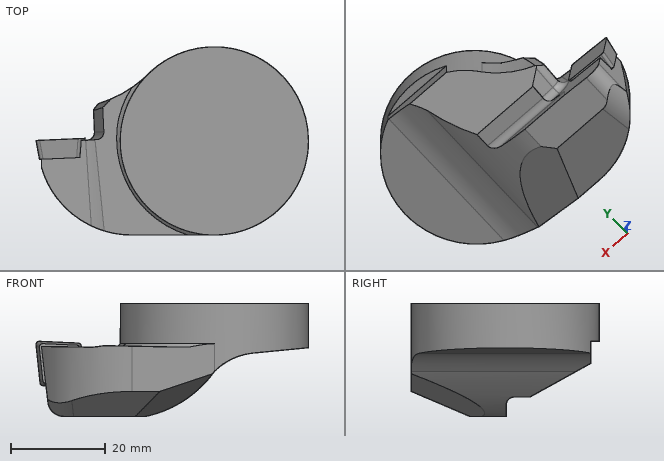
import cadquery as cq
import math


SHANK_DIAMETER = 40.0
SHANK_RADIUS = SHANK_DIAMETER / 2
TOTAL_HEIGHT = 24.0
FAR = 69.45

NOSE_CENTER_X = -17.55
FLANK_START = (-13.9, 14.35)
FLANK_MID = (-19.7, 10.0)
FLANK_END = (-25.45, 7.7)
HEAD_BLANK_HEIGHT = 17.35

PLATFORM_CORNER = (-25.45, 0, 14.8)
PLATFORM_SLOPE_X = -0.02
PLATFORM_SLOPE_Y = -0.015
COVE_TOP = 15.45
COVE_FOOT = 14.65
COVE_WIDTH = 0.85
COVE_SAG = 0.05

FLOOR_CORNER = (-27.3, 0, 14.65)
FLOOR_SLOPE_X = -0.02
FLOOR_SLOPE_Y = -0.005
GROOVE_RADIUS = 9.55
GROOVE_ANGLE = 3.8
GROOVE_ARC = 30.0

RELIEF_ANGLE = 6.5
RELIEF_FOOT_X = -35.0
HEEL_RADIUS = 3.5
SWEEP_START = (-14.6, 0.0)
SWEEP_MID = (-6.95, 3.05)
SWEEP_END = (0.0, 9.55)
THROAT_MID = (3.55, 12.1)
THROAT_END = (8.1, 13.4)
RIM_Z = 14.6

FRONT_BEVEL_Z = 5.3
FRONT_BEVEL_Y = -7.5
BEVEL_CORNER_X = -35.8
BEVEL_CORNER_RADIUS = 6.6
STEP_Y = 0.25
STEP_Z = 4.1
STEP_RADIUS = 1.6
BACK_BEVEL_Y = 5.2
BACK_FLAT_Y = 18.2
BACK_BEVEL_TOP = 11.3
BACK_FLAT_TOP = 16.0

RUNOUT_TOP_Z = 9.2
RUNOUT_FOOT_X = -16.8
RUNOUT_BEND_X = -11.6

RAKE_ANGLE = 2.5
GULLET_CORNER = (-25.85, 0.25)
GULLET_LIP_Z = 6.1
GULLET_LEAN = 16.0
GULLET_UNDERCUT = 22.0
GULLET_RADIUS = 1.6
LIP_DIAMETER = 4.4
GULLET_UNDERCUT_RUN = 4.7

CORNER_CUT_START = (-23.45, 7.35, 14.7)
CORNER_CUT_END = (-21.9, 8.9, 14.7)
CORNER_CUT_FOOT = (-25.7, 6.65, 6.35)
CORNER_CUT_LENGTH = 7.6
CORNER_CUT_HEIGHT = 19.1
CORNER_CUT_DEPTH = 6.65

INSERT_TIP = (-37.95, 0.1, 16.05)
INSERT_WIDTH = 9.65
INSERT_HEIGHT = 9.5
INSERT_TOP_FALL = 2.6
INSERT_SIDE_LEAN = 6.0
INSERT_THICKNESS = 4.05
INSERT_CLEARANCE = 7.0
INSERT_NOSE_RADIUS = 0.75


def tangent(degrees):
    """Tangent of an angle in degrees."""
    return math.tan(math.radians(degrees))


def half_space(origin, along, normal):
    """A large block on the side of a plane that its normal points to."""
    plane = cq.Plane(origin=origin, xDir=along, normal=normal)
    return cq.Workplane(plane).rect(2 * FAR, 2 * FAR).extrude(FAR)


def nearest(point):
    """Selects the edge whose middle lies nearest to a point."""
    return cq.selectors.NearestToPointSelector(point)


def make_head_blank():
    """Head outline: round nose, straight front side and hollow flank running into the shank."""
    rounded = (
        cq.Workplane("XY")
        .moveTo(0, -SHANK_RADIUS)
        .lineTo(NOSE_CENTER_X, -SHANK_RADIUS)
        .threePointArc((NOSE_CENTER_X - SHANK_RADIUS, 0), (NOSE_CENTER_X, SHANK_RADIUS))
        .lineTo(0, SHANK_RADIUS)
        .close()
        .extrude(HEAD_BLANK_HEIGHT)
    )
    flank_side = (
        cq.Workplane("XY")
        .moveTo(0, -SHANK_RADIUS)
        .lineTo(-FAR, -SHANK_RADIUS)
        .lineTo(-FAR, FLANK_END[1])
        .lineTo(*FLANK_END)
        .threePointArc(FLANK_MID, FLANK_START)
        .lineTo(0, 0)
        .close()
        .extrude(HEAD_BLANK_HEIGHT)
    )
    return rounded.intersect(flank_side)


def cut_platform(head):
    """Trims the head to the slightly sloping platform."""
    above = half_space(
        PLATFORM_CORNER,
        (1, 0, PLATFORM_SLOPE_X),
        (-PLATFORM_SLOPE_X, -PLATFORM_SLOPE_Y, 1),
    )
    return head.cut(above)


def make_cove(head_blank):
    """Hollow ring between platform and shank, kept inside the head outline."""
    foot_radius = SHANK_RADIUS + COVE_WIDTH
    ring = (
        cq.Workplane("XZ")
        .lineTo(0, COVE_TOP)
        .lineTo(SHANK_RADIUS, COVE_TOP)
        .sagittaArc((foot_radius, COVE_FOOT), -COVE_SAG)
        .lineTo(foot_radius, 0)
        .close()
        .revolve(360, (0, 0), (0, 1))
    )
    return ring.intersect(head_blank)


def make_groove_cutter():
    """Clears the floor beside the insert, ending in a wide hollow against the platform."""
    plane = cq.Plane(
        origin=FLOOR_CORNER, xDir=(1, 0, FLOOR_SLOPE_X), normal=(0, -1, -FLOOR_SLOPE_Y)
    )
    angle = math.radians(GROOVE_ARC)
    arc_mid = (GROOVE_RADIUS * math.sin(angle / 2), GROOVE_RADIUS * (1 - math.cos(angle / 2)))
    arc_end = (GROOVE_RADIUS * math.sin(angle), GROOVE_RADIUS * (1 - math.cos(angle)))
    x, y, _ = FLOOR_CORNER
    return (
        cq.Workplane(plane)
        .moveTo(-FAR, 0)
        .lineTo(0, 0)
        .threePointArc(arc_mid, arc_end)
        .lineTo(-FAR, arc_end[1])
        .close()
        .extrude(FAR, both=True)
        .rotate((x, y, 0), (x, y, 1), GROOVE_ANGLE)
    )


def make_underside_envelope():
    """Everything inside the end relief, rounded heel, flat bottom and swept throat."""
    top_x = RELIEF_FOOT_X - TOTAL_HEIGHT * tangent(RELIEF_ANGLE)
    return (
        cq.Workplane("XZ")
        .moveTo(top_x, TOTAL_HEIGHT)
        .lineTo(RELIEF_FOOT_X, 0)
        .lineTo(*SWEEP_START)
        .threePointArc(SWEEP_MID, SWEEP_END)
        .threePointArc(THROAT_MID, THROAT_END)
        .lineTo(SHANK_RADIUS, RIM_Z)
        .lineTo(SHANK_RADIUS, TOTAL_HEIGHT)
        .close()
        .extrude(FAR, both=True)
        .edges(nearest((RELIEF_FOOT_X, 0, 0)))
        .fillet(HEEL_RADIUS)
    )


def make_side_envelope():
    """Everything inside the front bevel, the raised back, its bevel and the back flat."""
    reach = STEP_RADIUS * math.sqrt(0.5)
    return (
        cq.Workplane("YZ")
        .moveTo(-SHANK_RADIUS, TOTAL_HEIGHT)
        .lineTo(-SHANK_RADIUS, FRONT_BEVEL_Z)
        .lineTo(FRONT_BEVEL_Y, 0)
        .lineTo(STEP_Y, 0)
        .lineTo(STEP_Y, STEP_Z - STEP_RADIUS)
        .threePointArc(
            (STEP_Y + STEP_RADIUS - reach, STEP_Z - STEP_RADIUS + reach),
            (STEP_Y + STEP_RADIUS, STEP_Z),
        )
        .lineTo(BACK_BEVEL_Y, STEP_Z)
        .lineTo(BACK_FLAT_Y, BACK_BEVEL_TOP)
        .lineTo(BACK_FLAT_Y, BACK_FLAT_TOP)
        .lineTo(SHANK_RADIUS, BACK_FLAT_TOP)
        .lineTo(SHANK_RADIUS, TOTAL_HEIGHT)
        .close()
        .extrude(FAR, both=True)
    )


def make_bevel_corner_envelope():
    """Wedge above the front bevel whose leaning end is rounded along the bevel's slope."""
    slope = FRONT_BEVEL_Z / (SHANK_RADIUS + FRONT_BEVEL_Y)
    wedge = (
        cq.Workplane("YZ")
        .moveTo(-FAR, slope * (FAR + FRONT_BEVEL_Y))
        .lineTo(FAR, -slope * (FAR - FRONT_BEVEL_Y))
        .lineTo(FAR, FAR)
        .lineTo(-FAR, FAR)
        .close()
        .extrude(FAR, both=True)
    )
    outside = half_space((BEVEL_CORNER_X, 0, 0), (0, 1, 0), (-1, 0, -tangent(RELIEF_ANGLE)))
    return (
        wedge.cut(outside)
        .edges(nearest((BEVEL_CORNER_X, FRONT_BEVEL_Y, 0)))
        .fillet(BEVEL_CORNER_RADIUS)
    )


def make_runout_cutter():
    """Below the flat facet that carries the front bevel up to the end of the straight side."""
    along_side = cq.Vector(-RUNOUT_BEND_X, 0, RUNOUT_TOP_Z - FRONT_BEVEL_Z)
    along_bevel = cq.Vector(
        RUNOUT_FOOT_X - RUNOUT_BEND_X, FRONT_BEVEL_Y + SHANK_RADIUS, -FRONT_BEVEL_Z
    )
    return half_space(
        (RUNOUT_BEND_X, -SHANK_RADIUS, FRONT_BEVEL_Z),
        along_side,
        along_bevel.cross(along_side),
    )


def make_gullet_cutter():
    """Chip space in front of the rake face, with a leaning end wall and an undercut lip."""
    x, y = GULLET_CORNER
    back_x = x + GULLET_UNDERCUT_RUN
    drop = GULLET_UNDERCUT_RUN * tangent(GULLET_UNDERCUT)
    top_x = x + (TOTAL_HEIGHT - GULLET_LIP_Z) * tangent(GULLET_LEAN)
    middle_x = (x + top_x) / 2
    return (
        cq.Workplane("XZ", origin=(0, y, 0))
        .moveTo(-FAR, TOTAL_HEIGHT)
        .lineTo(top_x, TOTAL_HEIGHT)
        .lineTo(x, GULLET_LIP_Z)
        .lineTo(back_x, GULLET_LIP_Z - drop)
        .lineTo(back_x, 0)
        .lineTo(-FAR, 0)
        .close()
        .extrude(-SHANK_RADIUS)
        .edges(nearest((x, y + SHANK_RADIUS / 2, GULLET_LIP_Z)))
        .fillet(LIP_DIAMETER / 2)
        .edges(nearest((middle_x, y, (TOTAL_HEIGHT + GULLET_LIP_Z) / 2)))
        .fillet(GULLET_RADIUS)
        .rotate((x, y, 0), (x, y, 1), RAKE_ANGLE)
    )


def make_corner_cutter():
    """Bevels the upright corner between the gullet wall and the flank."""
    start = cq.Vector(*CORNER_CUT_START)
    along = cq.Vector(*CORNER_CUT_END) - start
    down = cq.Vector(*CORNER_CUT_FOOT) - start
    plane = cq.Plane(origin=start.toTuple(), xDir=along, normal=along.cross(down))
    block = cq.Workplane(plane).rect(CORNER_CUT_LENGTH, CORNER_CUT_HEIGHT)
    return block.extrude(CORNER_CUT_DEPTH)


def make_insert():
    """Four-sided insert: rake face toward +Y, sides tapering in behind it."""
    x, y, _ = INSERT_TIP
    fall = INSERT_WIDTH * tangent(INSERT_TOP_FALL)
    lean = INSERT_HEIGHT * tangent(INSERT_SIDE_LEAN)
    return (
        cq.Workplane("XZ", origin=INSERT_TIP)
        .polyline(
            [
                (0, 0),
                (INSERT_WIDTH, -fall),
                (INSERT_WIDTH + lean, -fall - INSERT_HEIGHT),
                (lean, -INSERT_HEIGHT),
            ]
        )
        .close()
        .extrude(INSERT_THICKNESS, taper=INSERT_CLEARANCE)
        .edges("not(#Y)")
        .fillet(INSERT_NOSE_RADIUS)
        .rotate((x, y, 0), (x, y, 1), RAKE_ANGLE)
    )


def make_holder(insert):
    """Shank and head in one solid, with a pocket that the insert fills."""
    blank = make_head_blank()
    head = cut_platform(blank).union(make_cove(blank))
    head = head.cut(make_groove_cutter())
    head = head.intersect(make_bevel_corner_envelope())
    holder = cq.Workplane("XY").circle(SHANK_RADIUS).extrude(TOTAL_HEIGHT).union(head)
    holder = holder.intersect(make_underside_envelope())
    holder = holder.intersect(make_side_envelope())
    holder = holder.cut(make_runout_cutter())
    holder = holder.cut(make_gullet_cutter())
    holder = holder.cut(make_corner_cutter())
    return holder.cut(insert)


insert = make_insert()
holder = make_holder(insert)

result = cq.Compound.makeCompound([holder.solids().val(), insert.solids().val()])